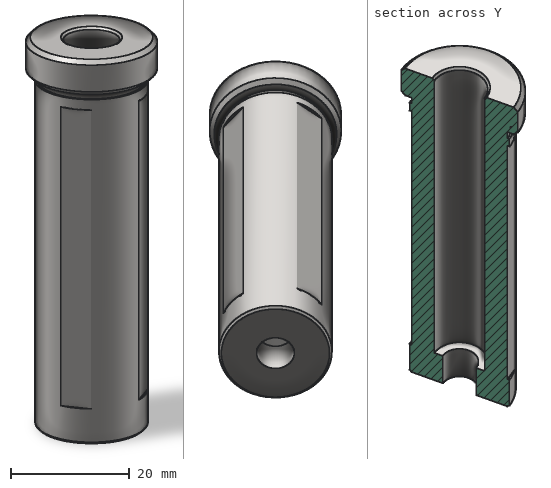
import cadquery as cq

length = 69.85
head_diameter = 22.2
head_height = 6.35
head_chamfer = 0.8

body_diameter = 19.1
body_chamfer = 0.4
neck_diameter = 18.3
neck_height = 1.25

flat_count = 4
flat_across = 18.3
flat_bottom = 6.4
flat_top = 60.35

socket_diameter = 9.5
socket_chamfer = 0.4
socket_floor = flat_bottom
through_diameter = 6.35

head_bottom = length - head_height
body_top = head_bottom - neck_height


def cylinder(diameter, bottom, top):
    """Vertical cylinder on the Z axis between two heights."""
    return cq.Workplane("XY").workplane(offset=bottom).circle(diameter / 2).extrude(top - bottom)


def make_sleeve():
    """Chamfered body, relief neck and chamfered head."""
    body = cylinder(body_diameter, 0, body_top).faces("<Z").chamfer(body_chamfer)
    neck = cylinder(neck_diameter, body_top, head_bottom)
    head = cylinder(head_diameter, head_bottom, length).edges("%CIRCLE").chamfer(head_chamfer)
    return body.union(neck).union(head)


def cut_flats(sleeve):
    """Cut equally spaced shallow flats into the body."""
    flat_height = flat_top - flat_bottom
    cutter = cq.Workplane("XY").box(
        body_diameter, body_diameter, flat_height, centered=(False, True, False)
    ).translate((flat_across / 2, 0, flat_bottom))
    for index in range(flat_count):
        angle = index * 360 / flat_count
        sleeve = sleeve.cut(cutter.rotate((0, 0, 0), (0, 0, 1), angle))
    return sleeve


def cut_bore(sleeve):
    """Cut the through hole, the socket and the socket's entry chamfer."""
    socket = cylinder(socket_diameter, socket_floor, length)
    entry = (
        cq.Workplane("XY")
        .workplane(offset=length - socket_chamfer)
        .circle(socket_diameter / 2)
        .workplane(offset=socket_chamfer)
        .circle(socket_diameter / 2 + socket_chamfer)
        .loft(ruled=True)
    )
    through = cylinder(through_diameter, 0, length)
    return sleeve.cut(through).cut(socket).cut(entry)


result = cut_bore(cut_flats(make_sleeve()))